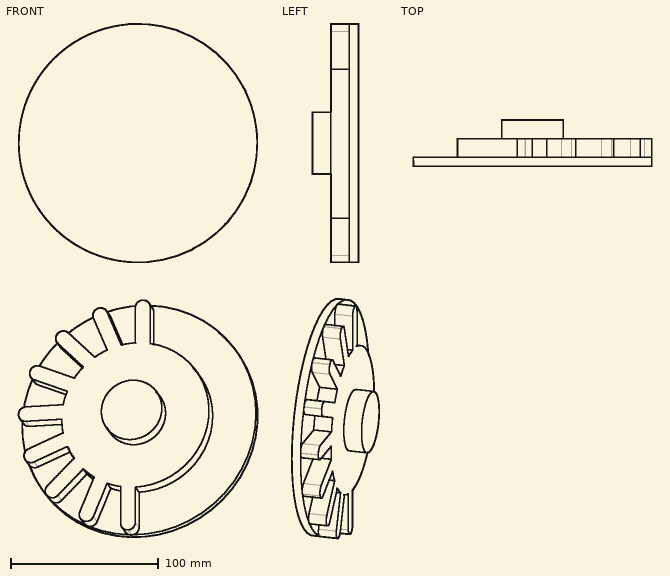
import cadquery as cq

plate_diameter = 162.0
boss_diameter = 42.0
hub_radius = 51.0
total_depth = 31.5

plate_depth = total_depth / 5
hub_depth = 2 * plate_depth
boss_depth = 2 * plate_depth

tooth_width = 10.2
tip_corner_radius = 5.0
tooth_count = 9
tooth_arc = 180.0
tooth_pitch = tooth_arc / (tooth_count - 1)
tip_radius = plate_diameter / 2


def disc(diameter, start, depth):
    """Round disc about the Y axis, growing towards +Y from y = start."""
    return cq.Workplane("XZ", origin=(0, start, 0)).circle(diameter / 2).extrude(-depth)


def upright_tooth():
    """Tooth along +Z, its tip two corner rounds and a narrow flat; the +X flank is on the radial line."""
    shoulder = tip_radius - tip_corner_radius
    return (
        cq.Workplane("XZ", origin=(0, plate_depth, 0))
        .moveTo(0, 0)
        .lineTo(0, shoulder)
        .radiusArc((-tip_corner_radius, tip_radius), -tip_corner_radius)
        .lineTo(tip_corner_radius - tooth_width, tip_radius)
        .radiusArc((-tooth_width, shoulder), -tip_corner_radius)
        .lineTo(-tooth_width, 0)
        .close()
        .extrude(-hub_depth)
    )


plate = disc(plate_diameter, 0, plate_depth)
hub = disc(2 * hub_radius, plate_depth, hub_depth)
boss = disc(boss_diameter, plate_depth + hub_depth, boss_depth)

result = plate.union(hub).union(boss)

tooth = upright_tooth()
for index in range(tooth_count):
    result = result.union(tooth.rotate((0, 0, 0), (0, 1, 0), index * tooth_pitch))